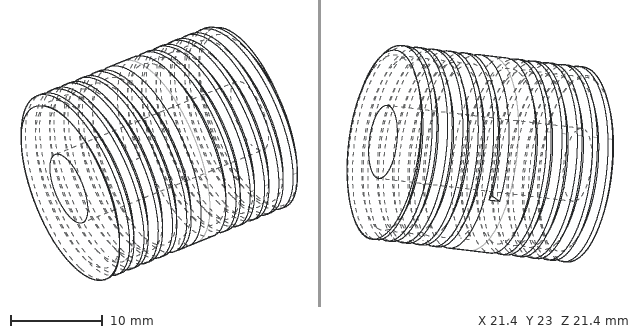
import cadquery as cq
import math

length = 23.0
outer_diameter = 21.35
bore_diameter = 8.0

pitch = 1.82
groove_width = 1.26
flank_angle = 60.0
groove_start = 1.55
start_angle = 225.0
overshoot = 0.23

outer_radius = outer_diameter / 2
flank_slope = math.tan(math.radians(flank_angle / 2))
groove_depth = groove_width / 2 / flank_slope
root_radius = outer_radius - groove_depth


def make_half_blank():
    """Plain half sleeve from mid-length to the +Z end."""
    return (
        cq.Workplane("XY")
        .circle(outer_radius)
        .circle(bore_diameter / 2)
        .extrude(length / 2)
    )


def make_groove():
    """Right-hand V groove running from near mid-length, trimmed flush at the +Z end."""
    cutter_radius = outer_radius + overshoot
    half_width = groove_width / 2 + overshoot * flank_slope
    run = length / 2 + groove_width - groove_start
    helix = cq.Workplane(obj=cq.Wire.makeHelix(pitch, run, outer_radius))
    groove = (
        cq.Workplane("XZ")
        .polyline([(root_radius, 0), (cutter_radius, half_width), (cutter_radius, -half_width)])
        .close()
        .sweep(helix, isFrenet=True)
    )
    groove = groove.rotate((0, 0, 0), (0, 0, 1), -start_angle).translate((0, 0, groove_start))
    end_trim = cq.Workplane("XY").circle(outer_diameter).extrude(length / 2)
    return groove.intersect(end_trim)


threaded_half = make_half_blank().cut(make_groove())
rear_half = threaded_half.rotate((0, 0, 0), (1, 0, 0), -90)

front_half = rear_half.rotate((0, 0, 0), (0, 0, 1), 180)

result = rear_half.union(front_half, clean=True)